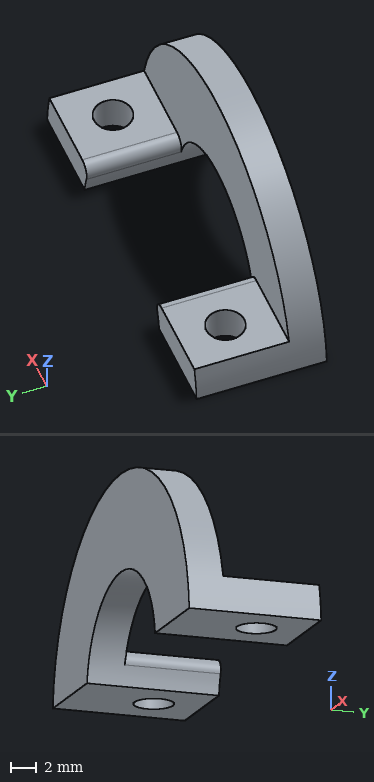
import cadquery as cq
import math

overall_width = 31.95
base_height = 1.0
plate_thickness = 3.0
overall_depth = 11.0
foot_height = 3.0
foot_edge_radius = 1.0
hole_diameter = 3.2

outer_radius = math.hypot(overall_width / 2, base_height)
bore_radius = outer_radius / 2
foot_length = overall_depth - plate_thickness
foot_top = base_height + foot_height
hole_x = (outer_radius + bore_radius) / 2
hole_y = plate_thickness + foot_length / 2


def half_ring(depth, top):
    """Ring around the Y axis, kept between the flat underside and the given top height."""
    ring = (
        cq.Workplane("XZ")
        .circle(outer_radius)
        .circle(bore_radius)
        .extrude(-depth)
    )
    slab = cq.Workplane("XY", origin=(0, 0, base_height)).box(
        2 * outer_radius, depth, top - base_height, centered=(True, False, False)
    )
    return ring.intersect(slab)


def make_feet():
    """Two feet following the ring, with rounded upper inner edges."""
    feet = half_ring(overall_depth, foot_top)
    inner_edge_x = math.sqrt(bore_radius**2 - foot_top**2)
    for side in (-1, 1):
        inner_edge_middle = (side * inner_edge_x, overall_depth / 2, foot_top)
        feet = feet.edges(cq.NearestToPointSelector(inner_edge_middle)).fillet(foot_edge_radius)
    return feet


def make_holes():
    """Vertical through holes, one in the middle of each foot."""
    return (
        cq.Workplane("XY", origin=(0, 0, base_height))
        .pushPoints([(-hole_x, hole_y), (hole_x, hole_y)])
        .circle(hole_diameter / 2)
        .extrude(foot_height)
    )


arch_plate = half_ring(plate_thickness, outer_radius)
result = arch_plate.union(make_feet()).cut(make_holes())